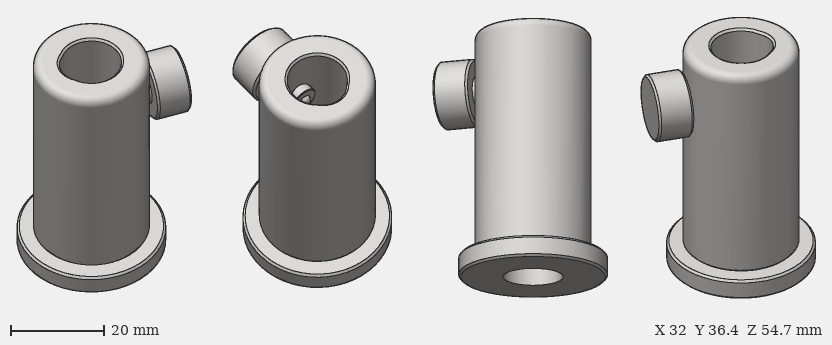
import cadquery as cq
total_height = 54.7
base_diameter = 32.0
base_height = 4.7
sleeve_diameter = 25.0
top_rounding = 1.95
edge_chamfer = 0.5

bore_radius = 6.45
relief_radius = 5.05
relief_offset = 1.95

knob_height = 42.3
knob_radius = 7.35
knob_outer_y = 20.4
knob_inner_y = 12.6
neck_radius = 3.6
neck_end_y = 8.2
shank_radius = 3.0
shank_end_y = 4.3
shank_chamfer = 0.15

ball_radius = 1.3
ball_center_y = 4.45


def cylinder_y(radius, inner_y, outer_y):
    """A cylinder on the knob axis from inner_y out to outer_y."""
    plane = cq.Workplane("XZ", origin=(0, inner_y, knob_height))
    return plane.circle(radius).extrude(inner_y - outer_y)


def make_base():
    disc = cq.Workplane("XY").circle(base_diameter / 2).extrude(base_height)
    disc = disc.edges().chamfer(edge_chamfer)
    hole = cq.Workplane("XY").circle(bore_radius).extrude(base_height)
    return disc.cut(hole)


def make_bore_part(radius, offset_y):
    """One round passage through the sleeve, flared at the top by the edge chamfer."""
    passage = (
        cq.Workplane("XY", origin=(0, offset_y, base_height))
        .circle(radius)
        .extrude(total_height - base_height)
    )
    flare = (
        cq.Workplane("XY", origin=(0, offset_y, total_height))
        .circle(radius + edge_chamfer)
        .workplane(offset=-edge_chamfer)
        .circle(radius)
        .loft()
    )
    return passage.union(flare)


def make_sleeve():
    sleeve = (
        cq.Workplane("XY", origin=(0, 0, base_height))
        .circle(sleeve_diameter / 2)
        .extrude(total_height - base_height)
    )
    sleeve = sleeve.faces(">Z").edges().fillet(top_rounding)
    sleeve = sleeve.faces("<Z").edges().chamfer(edge_chamfer)
    sleeve = sleeve.cut(make_bore_part(bore_radius, 0))
    sleeve = sleeve.cut(make_bore_part(relief_radius, -relief_offset))

    sleeve = sleeve.cut(cylinder_y(neck_radius, neck_end_y, knob_inner_y))
    return sleeve.cut(cylinder_y(shank_radius, shank_end_y, neck_end_y))


def make_ball():
    return cq.Workplane("XZ", origin=(0, ball_center_y, knob_height)).sphere(ball_radius)


def make_knob(ball):
    head = cylinder_y(knob_radius, knob_inner_y, knob_outer_y).edges().chamfer(edge_chamfer)
    neck = cylinder_y(neck_radius, neck_end_y, knob_inner_y)
    shank = cylinder_y(shank_radius, shank_end_y, neck_end_y)
    shank = shank.faces("<Y").edges().chamfer(shank_chamfer)
    return head.union(neck).union(shank).cut(ball)


base = make_base()
sleeve = make_sleeve()
ball = make_ball()
knob = make_knob(ball)

result = cq.Compound.makeCompound([base.val(), sleeve.val(), knob.val(), ball.val()])